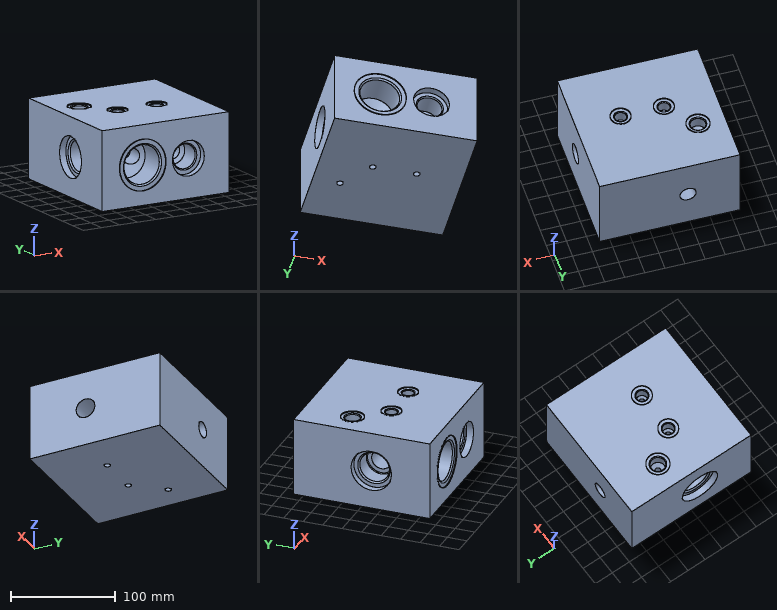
import cadquery as cq
import math

LENGTH = 140.0
WIDTH = 140.0
HEIGHT = 80.0
MID_HEIGHT = HEIGHT / 2

LARGE_PORT_X = 45.0
MAIN_DRILL_X = 52.0
SMALL_PORT_X = 95.0
CROSS_DRILL_Y = 60.0
CORNER_GAUGE_X = 27.0
CORNER_GAUGE_Y = 90.0

MAIN_DRILL_DIA = 16.0
CROSS_DRILL_DIA = 20.0
PILOT_DIA = 6.0

SHALLOW_SPOT_DEPTH = 1.0
DEEP_SPOT_DEPTH = 7.0
GAUGE_BORE_DEPTH = 12.6

CHAMFER_HALF_ANGLE = 45.0
DRILL_POINT_HALF_ANGLE = 118.0 / 2

INWARD_FROM_FRONT = cq.Vector(0, 1, 0)
INWARD_FROM_LEFT = cq.Vector(1, 0, 0)
INWARD_FROM_TOP = cq.Vector(0, 0, -1)


def cone_height(large_dia, small_dia, half_angle):
    """Axial length of a cone between two diameters."""
    return (large_dia - small_dia) / 2 / math.tan(math.radians(half_angle))


def drilling(origin, direction, diameter, length):
    """Cylindrical cutter starting at origin and running along direction."""
    return cq.Workplane(cq.Solid.makeCylinder(diameter / 2, length, origin, direction))


def port(origin, direction, spot_dia, spot_depth, mouth_dia, bore_dia, bore_depth,
         floor_dia=0, floor_half_angle=DRILL_POINT_HALF_ANGLE):
    """Cutter with a spotface, chamfered mouth, bore and conical floor narrowing to floor_dia."""
    mouth_end = spot_depth + cone_height(mouth_dia, bore_dia, CHAMFER_HALF_ANGLE)
    floor_end = bore_depth + cone_height(bore_dia, floor_dia, floor_half_angle)
    profile = [
        (0, 0),
        (spot_dia / 2, 0),
        (spot_dia / 2, spot_depth),
        (mouth_dia / 2, spot_depth),
        (bore_dia / 2, mouth_end),
        (bore_dia / 2, bore_depth),
        (floor_dia / 2, floor_end),
    ]
    if floor_dia > 0:
        profile.append((0, floor_end))
    radial = cq.Vector(1, 0, 0) if direction.z else cq.Vector(0, 0, 1)
    plane = cq.Plane(origin=origin, xDir=radial, normal=radial.cross(direction))
    return cq.Workplane(plane).polyline(profile).close().revolve(360, (0, 0), (0, 1))


def large_front_port():
    """Largest port, with a drilling beside its axis that runs through to the back."""
    bore = port(
        cq.Vector(LARGE_PORT_X, 0, MID_HEIGHT), INWARD_FROM_FRONT,
        spot_dia=51.0, spot_depth=SHALLOW_SPOT_DEPTH, mouth_dia=42.0, bore_dia=38.9, bore_depth=29.4,
    )
    drill_start = cq.Vector(MAIN_DRILL_X, 0, MID_HEIGHT)
    return bore.union(drilling(drill_start, INWARD_FROM_FRONT, MAIN_DRILL_DIA, WIDTH))


def small_front_port():
    """Port whose drilling ends in the cross drilling."""
    start = cq.Vector(SMALL_PORT_X, 0, MID_HEIGHT)
    bore = port(
        start, INWARD_FROM_FRONT,
        spot_dia=35.0, spot_depth=DEEP_SPOT_DEPTH, mouth_dia=26.6, bore_dia=24.4, bore_depth=28.0,
        floor_dia=MAIN_DRILL_DIA,
    )
    return bore.union(drilling(start, INWARD_FROM_FRONT, MAIN_DRILL_DIA, CROSS_DRILL_Y))


def left_port():
    """Flat-floored port, with the cross drilling running through to the right side."""
    start = cq.Vector(0, CROSS_DRILL_Y, MID_HEIGHT)
    bore = port(
        start, INWARD_FROM_LEFT,
        spot_dia=41.3, spot_depth=DEEP_SPOT_DEPTH, mouth_dia=33.3, bore_dia=30.2, bore_depth=25.2,
        floor_dia=28.4, floor_half_angle=CHAMFER_HALF_ANGLE,
    )
    return bore.union(drilling(start, INWARD_FROM_LEFT, CROSS_DRILL_DIA, LENGTH))


def gauge_port(x, y, spot_dia, mouth_dia, bore_dia):
    """Top port, with a pilot drilling through to the bottom."""
    start = cq.Vector(x, y, HEIGHT)
    bore = port(
        start, INWARD_FROM_TOP,
        spot_dia, SHALLOW_SPOT_DEPTH, mouth_dia, bore_dia, GAUGE_BORE_DEPTH,
        floor_dia=PILOT_DIA,
    )
    return bore.union(drilling(start, INWARD_FROM_TOP, PILOT_DIA, HEIGHT))


result = cq.Workplane().box(LENGTH, WIDTH, HEIGHT, centered=False)
result = result.cut(large_front_port())
result = result.cut(small_front_port())
result = result.cut(left_port())

for gauge_x in (MAIN_DRILL_X, SMALL_PORT_X):
    result = result.cut(gauge_port(gauge_x, CROSS_DRILL_Y, spot_dia=20.0, mouth_dia=13.3, bore_dia=11.6))
result = result.cut(gauge_port(CORNER_GAUGE_X, CORNER_GAUGE_Y, spot_dia=23.0, mouth_dia=16.8, bore_dia=15.0))